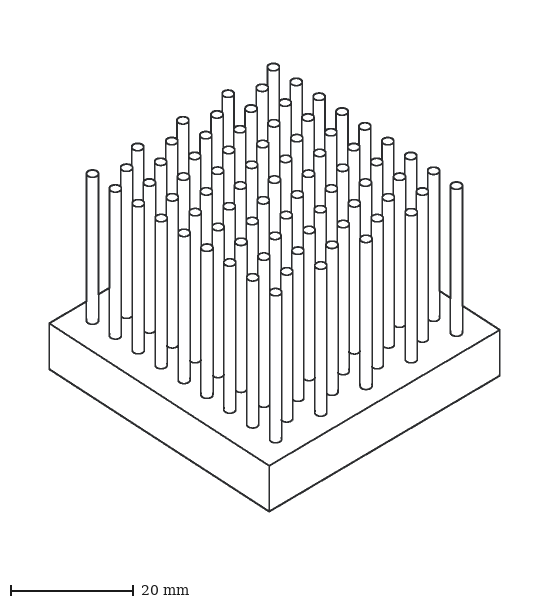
import cadquery as cq

plate_side = 52.0
plate_thickness = 9.5

overall_height = 40.0
pin_diameter = 2.0
pin_length = overall_height - plate_thickness

row_count = 9
long_row_pins = 9
short_row_pins = long_row_pins - 1
pin_pitch = 5.4
row_pitch = 5.1


def pin_centres():
    """Centres of all pins; long and short rows alternate, starting with a long row."""
    centres = []
    for row in range(row_count):
        pins_in_row = long_row_pins if row % 2 == 0 else short_row_pins
        y = (row - (row_count - 1) / 2) * row_pitch
        for pin in range(pins_in_row):
            x = (pin - (pins_in_row - 1) / 2) * pin_pitch
            centres.append((x, y))
    return centres


plate = cq.Workplane("XY").box(
    plate_side, plate_side, plate_thickness, centered=(True, True, False)
)

result = (
    plate.faces(">Z")
    .workplane()
    .pushPoints(pin_centres())
    .circle(pin_diameter / 2)
    .extrude(pin_length)
)